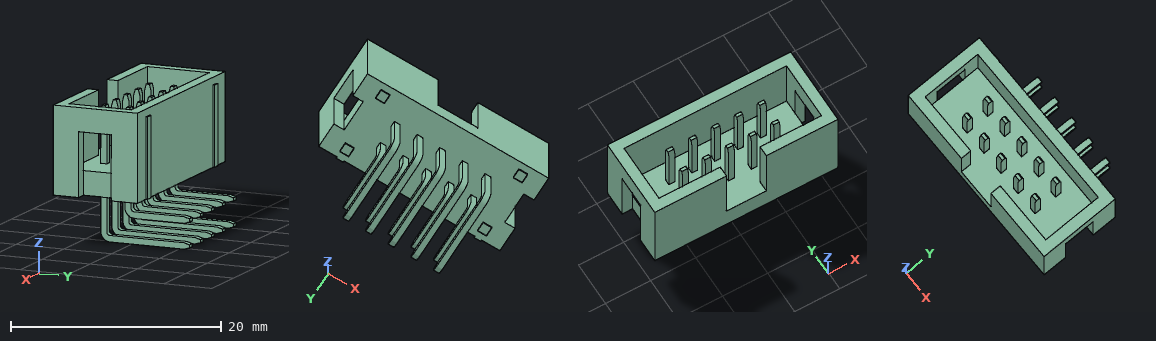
import cadquery as cq


body_length = 20.32
body_width = 8.8
body_height = 8.8
wall = 1.15
floor_thickness = 2.42

notch_width = 4.4
slot_width = 3.41
slot_offset = -0.05
slot_height = 6.45

rib_spacing = 15.45
rib_width = 0.77
rib_height = 8.05
rib_depth = 0.152
foot_spacing_x = rib_spacing
foot_spacing_y = 6.45
foot_size = 1.0
foot_height = 0.2

pitch = 2.55
pins_per_row = 5
pin_size = 0.65
pin_top = 8.1
tail_reach = 3.3
lowest_tail = 5.18
bend_inner_radius = 0.33
bend_outer_radius = bend_inner_radius + pin_size
tip_length = 0.57
tip_inset = 0.16

back_face = body_width / 2
front_face = -body_width / 2
tail_end = back_face + tail_reach


def block(size_x, size_y, size_z, x, y, z):
    """Box centred on (x, y) with its underside at height z."""
    return cq.Workplane("XY", origin=(x, y, z)).box(size_x, size_y, size_z, centered=(True, True, False))


def make_shroud():
    """Open-topped box with the keying notch and the two latch slots cut through its walls."""
    shroud = block(body_length, body_width, body_height, 0, 0, 0)
    cavity_depth = body_height - floor_thickness
    cavity_length = body_length - 2 * wall
    cavity_width = body_width - 2 * wall
    shroud = shroud.cut(block(cavity_length, cavity_width, cavity_depth, 0, 0, floor_thickness))

    notch_y = front_face + wall / 2
    shroud = shroud.cut(block(notch_width, wall, cavity_depth, 0, notch_y, floor_thickness))

    slot_x = (body_length - wall) / 2
    for side in (-1, 1):
        shroud = shroud.cut(block(wall, slot_width, slot_height, side * slot_x, slot_offset, 0))
    return shroud


def make_ribs():
    """Pair of shallow upright ribs standing on the +Y wall."""
    rib_y = back_face + rib_depth / 2
    return (
        cq.Workplane("XY")
        .pushPoints([(-rib_spacing / 2, rib_y), (rib_spacing / 2, rib_y)])
        .rect(rib_width, rib_depth)
        .extrude(rib_height)
    )


def make_feet():
    """Four square stand-offs on the underside."""
    return (
        cq.Workplane("XY")
        .rect(foot_spacing_x, foot_spacing_y, forConstruction=True)
        .vertices()
        .rect(foot_size, foot_size)
        .extrude(-foot_height)
    )


def make_pin(x, y, tail_bottom):
    """Square pin rising at (x, y), bent towards +Y, tapered in the YZ plane at both tips."""
    front = y - pin_size / 2
    back = y + pin_size / 2
    tail_top = tail_bottom + pin_size
    bend_y = back + bend_inner_radius
    bend_z = tail_top + bend_inner_radius
    return (
        cq.Workplane("YZ", origin=(x - pin_size / 2, 0, 0))
        .moveTo(front + tip_inset, pin_top)
        .lineTo(front, pin_top - tip_length)
        .lineTo(front, bend_z)
        .radiusArc((bend_y, tail_bottom), -bend_outer_radius)
        .lineTo(tail_end - tip_length, tail_bottom)
        .lineTo(tail_end, tail_bottom + tip_inset)
        .lineTo(tail_end, tail_top - tip_inset)
        .lineTo(tail_end - tip_length, tail_top)
        .lineTo(bend_y, tail_top)
        .radiusArc((back, bend_z), bend_inner_radius)
        .lineTo(back, pin_top - tip_length)
        .lineTo(back - tip_inset, pin_top)
        .close()
        .extrude(pin_size)
    )


result = make_shroud().union(make_ribs()).union(make_feet())

for column in range(pins_per_row):
    pin_x = (column - (pins_per_row - 1) / 2) * pitch
    result = result.union(make_pin(pin_x, -pitch / 2, -lowest_tail))
    result = result.union(make_pin(pin_x, pitch / 2, -lowest_tail + pitch))